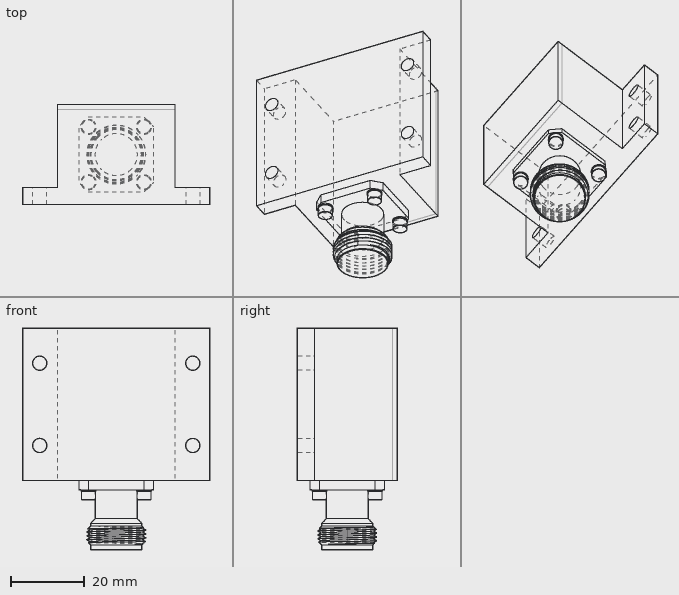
import cadquery as cq
import math

flange_width = 50.8
total_depth = 27.15
total_height = 60.1
body_height = 41.3
block_width = 31.9
flange_thickness = 4.7
cover_thickness = 1.3

hole_diameter = 3.8
hole_spacing_x = 41.45
hole_spacing_z = 22.3
top_hole_inset = 9.5

plate_side = 20.25
plate_corner_cut = 2.6
plate_thickness = 2.5

screw_offset = 7.5
washer_diameter = 4.1
washer_thickness = 0.35
screw_head_diameter = 3.85
screw_head_height = 2.35
screw_head_chamfer = 0.09

neck_diameter = 11.4
neck_length = 7.8
barrel_diameter = 13.95
barrel_end_chamfer = 0.2
thread_diameter = 16.0
thread_root_diameter = 14.3
pitch_turns = 5
pitch_turns_length = 5.3
thread_pitch = pitch_turns_length / pitch_turns
thread_crest_flat = 0.05
thread_start_depth = 12.3
thread_end_depth = 17.4
groove_phase_depth = 13.95
groove_overshoot = 0.025

body_center_y = total_depth / 2
connector_length = total_height - body_height
plate_bottom = -plate_thickness
connector_axis = cq.Workplane("XY", origin=(0, body_center_y, 0))


def box_between(width, y_front, y_back):
    """Box of body height, centred on X, reaching from y_front to y_back."""
    depth = y_back - y_front
    box = cq.Workplane("XY", origin=(0, y_front + depth / 2, 0))
    return box.box(width, depth, body_height, centered=(True, True, False))


def make_housing():
    flange = box_between(flange_width, 0, flange_thickness)
    block = box_between(block_width, flange_thickness, total_depth - cover_thickness)
    hole_center_z = body_height - top_hole_inset - hole_spacing_z / 2
    holes = (
        cq.Workplane("XZ", origin=(0, 0, hole_center_z))
        .rarray(hole_spacing_x, hole_spacing_z, 2, 2)
        .circle(hole_diameter / 2)
        .extrude(-flange_thickness)
    )
    return flange.cut(holes).union(block)


def make_plate():
    plate = connector_axis.rect(plate_side, plate_side).extrude(plate_bottom)
    return plate.edges("|Z").chamfer(plate_corner_cut)


def make_screws():
    """Four screw heads, each on a washer, below the connector plate."""
    spacing = 2 * screw_offset
    washers = (
        connector_axis.workplane(offset=plate_bottom)
        .rarray(spacing, spacing, 2, 2)
        .circle(washer_diameter / 2)
        .extrude(-washer_thickness)
    )
    heads = (
        connector_axis.workplane(offset=plate_bottom - washer_thickness)
        .rarray(spacing, spacing, 2, 2)
        .circle(screw_head_diameter / 2)
        .extrude(-screw_head_height)
        .edges("%CIRCLE")
        .chamfer(screw_head_chamfer)
    )
    return washers.union(heads)


def make_barrel_blank():
    """Turned connector barrel, with the thread band still a plain collar."""
    neck_radius = neck_diameter / 2
    barrel_radius = barrel_diameter / 2
    thread_radius = thread_diameter / 2
    cone_top = plate_bottom - neck_length
    cone_bottom = cone_top - (barrel_radius - neck_radius)
    thread_lead = thread_radius - barrel_radius
    end = -connector_length
    profile = [
        (0, plate_bottom),
        (neck_radius, plate_bottom),
        (neck_radius, cone_top),
        (barrel_radius, cone_bottom),
        (barrel_radius, -thread_start_depth),
        (thread_radius, -thread_start_depth - thread_lead),
        (thread_radius, -thread_end_depth + thread_lead),
        (barrel_radius, -thread_end_depth),
        (barrel_radius, end + barrel_end_chamfer),
        (barrel_radius - barrel_end_chamfer, end),
        (0, end),
    ]
    outline = cq.Workplane("XZ", origin=(0, body_center_y, 0)).polyline(profile).close()
    return outline.revolve(360, (0, 0), (0, 1))


def make_groove_turn(start_z):
    """One full turn of a right-hand helical V groove, rising from start_z on the +X side."""
    root_radius = thread_root_diameter / 2
    crest_radius = thread_diameter / 2
    crest_half_width = (thread_pitch - thread_crest_flat) / 2
    flank_slope = crest_half_width / (crest_radius - root_radius)
    outer_radius = crest_radius + groove_overshoot
    outer_half_width = crest_half_width + groove_overshoot * flank_slope
    helix = cq.Wire.makeHelix(
        thread_pitch, thread_pitch, root_radius, center=cq.Vector(0, body_center_y, start_z)
    )
    outline = [
        (root_radius, start_z),
        (outer_radius, start_z + outer_half_width),
        (outer_radius, start_z - outer_half_width),
    ]
    profile = cq.Workplane("XZ", origin=(0, body_center_y, 0)).polyline(outline).close()
    return profile.sweep(cq.Workplane(helix), isFrenet=True)


def make_barrel():
    """Barrel with the thread cut turn by turn, running out past both ends of the thread band."""
    barrel = make_barrel_blank()
    turns_below = math.ceil((thread_end_depth - groove_phase_depth) / thread_pitch)
    turns_above = math.ceil((groove_phase_depth - thread_start_depth) / thread_pitch)
    for turn in range(-turns_below, turns_above):
        barrel = barrel.cut(make_groove_turn(turn * thread_pitch - groove_phase_depth))
    return barrel


housing = make_housing()
cover = box_between(block_width, total_depth - cover_thickness, total_depth)
connector = make_plate().union(make_screws()).union(make_barrel())

result = housing.union(connector).union(cover, clean=False)